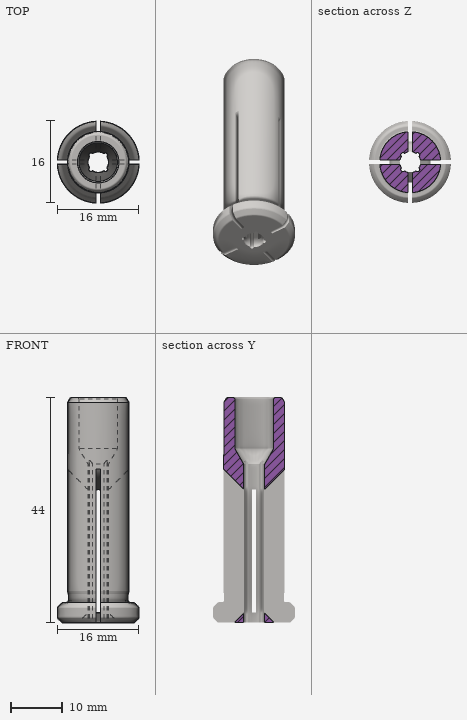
import cadquery as cq
import math

total_length = 44.0
body_radius = 6.0
flange_radius = 8.0
flange_height = 4.0
flange_chamfer = 1.0
edge_rounding = 0.4

end_chamfer_length = 1.0
end_chamfer_angle = 30.0
end_radius = body_radius - end_chamfer_length * math.tan(math.radians(end_chamfer_angle))

relief_top = 6.15
relief_taper_length = 0.55
relief_taper_angle = 15.0
relief_radius = body_radius - relief_taper_length * math.tan(math.radians(relief_taper_angle))
relief_fillet = 0.4

wide_bore_diameter = 7.5
wide_bore_chamfer = 0.3
core_diameter = 4.0
wide_bore_depth = 10.0
cone_angle = 30.0

channel_diameter = 0.8
channel_first_angle = 45.0

slot_width = 0.8
slot_overrun = 1.0
slot_count = 4
slot_slope_angle = 45.0
slot_top_at_body = 30.0
slot_bottom_at_axis = 4.0


def make_body():
    """Turned outside shape: flange, relief groove and long cylinder."""
    fillet_mid = relief_fillet * (1 - math.sqrt(0.5))
    profile = (
        cq.Workplane("XZ")
        .moveTo(0, 0)
        .lineTo(flange_radius - flange_chamfer, 0)
        .lineTo(flange_radius, flange_chamfer)
        .lineTo(flange_radius, flange_height - flange_chamfer)
        .lineTo(flange_radius - flange_chamfer, flange_height)
        .lineTo(relief_radius + relief_fillet, flange_height)
        .threePointArc(
            (relief_radius + fillet_mid, flange_height + fillet_mid),
            (relief_radius, flange_height + relief_fillet),
        )
        .lineTo(relief_radius, relief_top - relief_taper_length)
        .lineTo(body_radius, relief_top)
        .lineTo(body_radius, total_length - end_chamfer_length)
        .lineTo(end_radius, total_length)
        .lineTo(0, total_length)
        .close()
    )
    return profile.revolve(360, (0, 0, 0), (0, 1, 0))


def round_outer_edges(body):
    """Round both edges of each flange chamfer and the rim of the plain end."""
    rounded_rims = [
        (flange_radius - flange_chamfer, 0),
        (flange_radius, flange_chamfer),
        (flange_radius, flange_height - flange_chamfer),
        (flange_radius - flange_chamfer, flange_height),
        (end_radius, total_length),
    ]

    match_tolerance = 1e-4

    def is_rounded(edge):
        if edge.geomType() != "CIRCLE":
            return False
        return any(
            math.isclose(edge.radius(), radius, abs_tol=match_tolerance)
            and math.isclose(edge.Center().z, height, abs_tol=match_tolerance)
            for radius, height in rounded_rims
        )

    rims = [edge for edge in body.edges().vals() if is_rounded(edge)]
    return body.newObject(rims).fillet(edge_rounding)


def make_bore():
    """Wide bore, cone and core hole, joined with the fine channels."""
    wide_radius = wide_bore_diameter / 2
    core_radius = core_diameter / 2
    cone_top = total_length - wide_bore_depth
    cone_base = cone_top - (wide_radius - core_radius) / math.tan(math.radians(cone_angle))
    turned = (
        cq.Workplane("XZ")
        .moveTo(0, 0)
        .lineTo(core_radius, 0)
        .lineTo(core_radius, cone_base)
        .lineTo(wide_radius, cone_top)
        .lineTo(wide_radius, total_length - wide_bore_chamfer)
        .lineTo(wide_radius + wide_bore_chamfer, total_length)
        .lineTo(0, total_length)
        .close()
        .revolve(360, (0, 0, 0), (0, 1, 0))
    )
    channels = (
        cq.Workplane("XY")
        .polarArray(core_radius, channel_first_angle, 360, slot_count)
        .circle(channel_diameter / 2)
        .extrude(cone_top)
    )
    return turned.union(channels)


def make_slot():
    """One slot towards +X, its end faces sloping towards each other at the axis."""
    reach = flange_radius + slot_overrun
    slope = math.tan(math.radians(slot_slope_angle))
    top_at_axis = slot_top_at_body - body_radius * slope
    return (
        cq.Workplane("XZ")
        .moveTo(0, slot_bottom_at_axis)
        .lineTo(reach, slot_bottom_at_axis - reach * slope)
        .lineTo(reach, top_at_axis + reach * slope)
        .lineTo(0, top_at_axis)
        .close()
        .extrude(slot_width / 2, both=True)
    )


result = round_outer_edges(make_body()).cut(make_bore())
for index in range(slot_count):
    result = result.cut(make_slot().rotate((0, 0, 0), (0, 0, 1), index * 360 / slot_count))